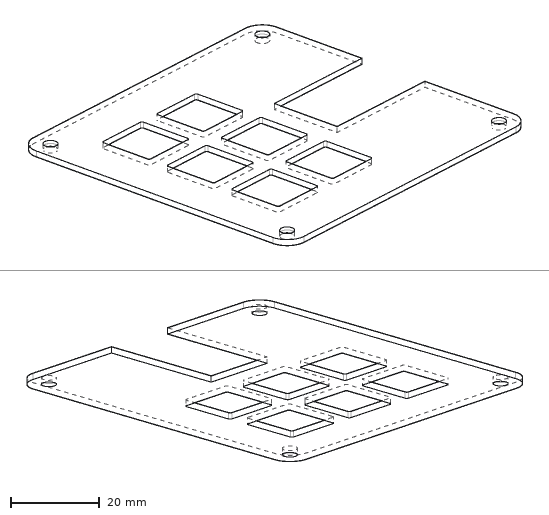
import cadquery as cq

width = 79.8
length = 84.3
thickness = 1.5
corner_radius = 5.0

hole_diameter = 3.4
hole_inset = corner_radius

slot_width = 18.55
slot_depth = 30.8
slot_center_x = -0.4

key_size = 14.0
key_corner_radius = 0.5
key_pitch = 19.05
key_columns = 3
key_rows = 2
key_center_x = -0.5
key_center_y = -12.6


def make_plate():
    plate = cq.Workplane("XY").box(width, length, thickness)
    return plate.edges("|Z").fillet(corner_radius)


def mounting_holes():
    return (
        cq.Workplane("XY")
        .rect(width - 2 * hole_inset, length - 2 * hole_inset, forConstruction=True)
        .vertices()
        .circle(hole_diameter / 2)
        .extrude(thickness, both=True)
    )


def edge_slot():
    return (
        cq.Workplane("XY")
        .center(slot_center_x, length / 2 - slot_depth / 2)
        .rect(slot_width, slot_depth)
        .extrude(thickness, both=True)
    )


def key_cutouts():
    return (
        cq.Workplane("XY")
        .center(key_center_x, key_center_y)
        .rarray(key_pitch, key_pitch, key_columns, key_rows)
        .rect(key_size, key_size)
        .extrude(thickness, both=True)
        .edges("|Z")
        .fillet(key_corner_radius)
    )


result = make_plate().cut(mounting_holes()).cut(edge_slot()).cut(key_cutouts())